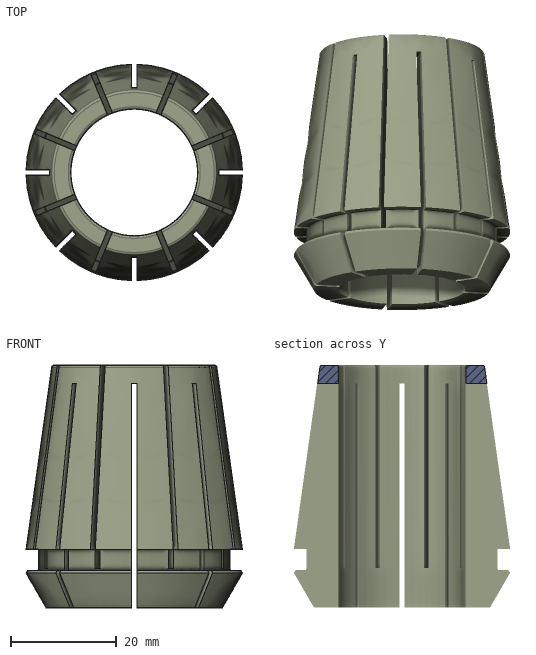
import cadquery as cq
import math

length = 46.0
max_radius = 20.5
bore_radius = 12.0

flange_half_angle = 30.0
flange_top = 7.1
flange_edge_chamfer = 0.5
flange_edge_inset = 0.35

groove_radius = 18.15
groove_top = 11.1
groove_root_fillet = 0.2

taper_half_angle = 8.0
rim_fillet = 0.5

slot_count = 8
slot_width = 1.0
lower_slot_top = 42.5
upper_slot_floor = 7.5
slot_overrun = 1.0

flange_edge = flange_top - flange_edge_chamfer
bottom_radius = max_radius - flange_edge * math.tan(math.radians(flange_half_angle))


def taper_radius(z):
    """Radius of the long taper at height z."""
    return max_radius - (z - groove_top) * math.tan(math.radians(taper_half_angle))


def make_body():
    """Unslotted collet: revolved half section with a rounded groove root and top rim."""
    below_root = [
        (bore_radius, 0),
        (bottom_radius, 0),
        (max_radius, flange_edge),
        (max_radius - flange_edge_inset, flange_top),
        (groove_radius + groove_root_fillet, flange_top),
    ]
    root_end = (groove_radius, flange_top + groove_root_fillet)
    above_root = [
        (groove_radius, groove_top),
        (max_radius, groove_top),
        (taper_radius(length), length),
        (bore_radius, length),
    ]
    section = cq.Workplane("XZ").polyline(below_root)
    section = section.radiusArc(root_end, groove_root_fillet)
    section = section.polyline(above_root, includeCurrent=True).close()
    body = section.revolve(360, (0, 0), (0, 1))
    return body.faces(">Z").edges().fillet(rim_fillet)


def make_slots(first_angle, z_low, z_high):
    """Ring of evenly spaced radial slots cutting through the wall from z_low to z_high."""
    reach = max_radius + slot_overrun
    slot = cq.Workplane("XY").box(reach, slot_width, z_high - z_low, centered=(False, True, False))
    slot = slot.translate((0, 0, z_low))
    slots = cq.Workplane("XY")
    for i in range(slot_count):
        angle = first_angle + i * 360 / slot_count
        slots = slots.add(slot.rotate((0, 0, 0), (0, 0, 1), angle))
    return slots.combine()


lower_slots = make_slots(0, -slot_overrun, lower_slot_top)
upper_slots = make_slots(180 / slot_count, upper_slot_floor, length + slot_overrun)

result = make_body().cut(lower_slots).cut(upper_slots)